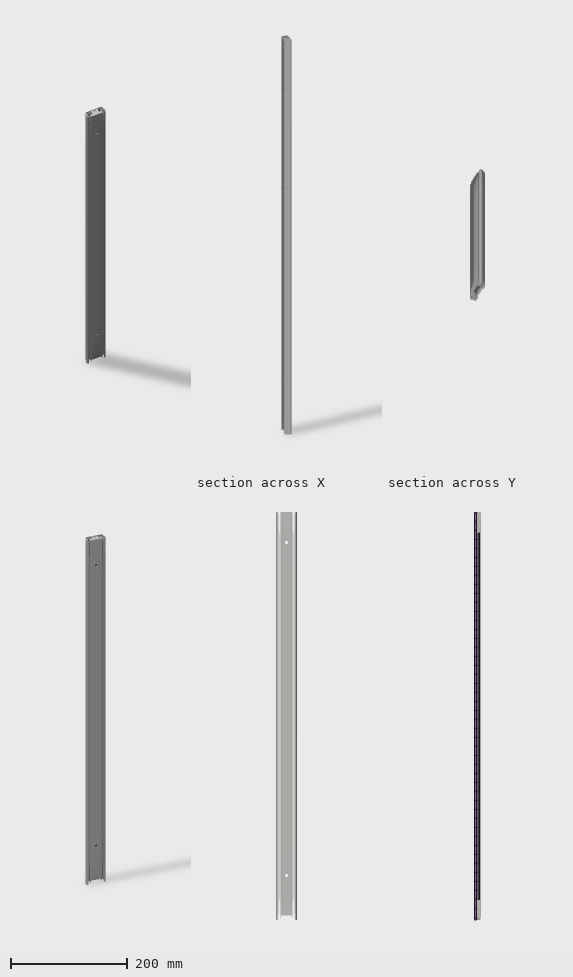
import cadquery as cq


LENGTH = 700.0
TOP = LENGTH / 2
BOTTOM = -LENGTH / 2
SHEET = 1.05

OUTER_BACK = -6.0
OUTER_FRONT = 5.45
OUTER_HALF_WIDTH = 36.0 / 2
WEB_HALF_WIDTH = 14.0
LIP_HALF_GAP = 29.0 / 2

MIDDLE_BACK = -5.0
MIDDLE_FRONT = 5.25
MIDDLE_HALF_WIDTH = 14.0
MIDDLE_BOTTOM = BOTTOM + 10.0
MIDDLE_TOP = TOP - 3.0

INNER_FRONT = 6.4
INNER_BACK = -1.5
INNER_HALF_WIDTH = 10.5
INNER_BOTTOM = BOTTOM + 3.5
INNER_NOTCH_HEIGHT = 4.0
TAB_THICKNESS = 2.0
TAB_BACK = -4.55
TAB_HALF_WIDTH = 6.0
TAB_ROOT_BACK = 2.0
TAB_POCKET_BACK = -3.15
TAB_POCKET_FRONT = 1.05
TAB_POCKET_HALF_WIDTH = 2.0
TAB_POCKET_DEPTH = 1.05

TONGUE_HALF_WIDTH = 15.0 / 2
SLOT_WIDTH = 2.0
LONG_CLIP_LENGTH = 45.5
SHORT_CLIP_LENGTH = 34.0
LONG_CLIP_TOPS = (332.0, 269.0)
SHORT_CLIP_TOPS = (102.0, -250.0)
LONG_CLIP_HOLES = ((9.0, 2.0), (18.0, 3.5), (33.5, 4.0))
SHORT_CLIP_HOLES = ((12.0, 3.5), (23.0, 4.0))

REAR_HOLE_RADIUS = 3.0
REAR_HOLE_DROP = 1.0
LONG_CLIP_REAR_HOLE = LONG_CLIP_HOLES[-1][0] + REAR_HOLE_DROP
SHORT_CLIP_REAR_HOLE = SHORT_CLIP_HOLES[-1][0] + REAR_HOLE_DROP
REAR_HOLE_HEIGHTS = (
    *[top - LONG_CLIP_REAR_HOLE for top in LONG_CLIP_TOPS],
    *[top - SHORT_CLIP_REAR_HOLE for top in SHORT_CLIP_TOPS],
)
INNER_HOLE_HEIGHTS = (REAR_HOLE_HEIGHTS[0], REAR_HOLE_HEIGHTS[-1])

TOP_HOLE_Z = 337.5
TOP_HOLE_RADIUS = 3.15
WINDOW_Y = 10.5
WINDOW_WIDTH = 4.0
WINDOW_HEIGHT = 6.0
BOTTOM_HOLE_Z = -331.0
BOTTOM_HOLE_RADIUS = 3.0
NOTCH_HALF_WIDTH = 19.0 / 2
NOTCH_HEIGHT = 12.5

STRIP_THICKNESS = 1.5
STRIP_BACK = 0.35
STRIP_FRONT = 3.85
STRIP_LENGTH = 630.0
STRIP_GAP = 0.35
OUTER_STRIP_Y = MIDDLE_HALF_WIDTH + STRIP_GAP + STRIP_THICKNESS / 2
INNER_STRIP_Y = (INNER_HALF_WIDTH + MIDDLE_HALF_WIDTH - SHEET) / 2


def box(x_min, x_max, y_min, y_max, z_min, z_max):
    """A box between the given limits."""
    size = (x_max - x_min, y_max - y_min, z_max - z_min)
    return cq.Workplane("XY").box(*size, centered=False).translate((x_min, y_min, z_min))


def web_hole(web_back, z, radius):
    """A cutter for a round hole through a web whose -X face is at web_back."""
    hole = cq.Workplane("YZ").center(0, z).circle(radius).extrude(2 * SHEET)
    return hole.translate((web_back - SHEET / 2, 0, 0))


def outer_web_cut(y_min, y_max, z_min, z_max):
    """A cutter for a rectangular opening through the outer web only."""
    return box(OUTER_BACK - SHEET, OUTER_BACK + SHEET, y_min, y_max, z_min, z_max)


def outer_section():
    """Closed outside outline of the outer rail, with a bulging ball race on each side."""
    flank_start = (-4.55, WEB_HALF_WIDTH + 1.75)
    race_start = (-1.0, WEB_HALF_WIDTH + 2.5)
    race_crest = (2.0, OUTER_HALF_WIDTH)
    race_end = (4.55, OUTER_HALF_WIDTH - 1.0)
    lip_start = (OUTER_FRONT, OUTER_HALF_WIDTH - 1.75)
    return (
        cq.Workplane("XY", origin=(0, 0, BOTTOM))
        .moveTo(OUTER_BACK, 0)
        .lineTo(OUTER_BACK, WEB_HALF_WIDTH)
        .tangentArcPoint(flank_start, relative=False)
        .lineTo(*race_start)
        .threePointArc(race_crest, race_end)
        .tangentArcPoint(lip_start, relative=False)
        .lineTo(OUTER_FRONT, 0)
        .mirrorX()
    )


def cut_clip(rail, top, length, holes):
    """Cut an upside-down U slot, and holes in the tongue it leaves joined at the bottom."""
    slot_half_width = TONGUE_HALF_WIDTH + SLOT_WIDTH
    slot = outer_web_cut(-slot_half_width, slot_half_width, top - length, top)
    tongue = outer_web_cut(
        -TONGUE_HALF_WIDTH, TONGUE_HALF_WIDTH, top - length, top - SLOT_WIDTH
    )
    rail = rail.cut(slot.cut(tongue))
    for depth, radius in holes:
        rail = rail.cut(web_hole(OUTER_BACK, top - depth, radius))
    return rail


def make_outer_rail():
    hollow = outer_section().offset2D(-SHEET).extrude(LENGTH)
    opening = box(0, OUTER_FRONT + SHEET, -LIP_HALF_GAP, LIP_HALF_GAP, BOTTOM, TOP)
    rail = outer_section().extrude(LENGTH).cut(hollow).cut(opening)

    for top in LONG_CLIP_TOPS:
        rail = cut_clip(rail, top, LONG_CLIP_LENGTH, LONG_CLIP_HOLES)
    for top in SHORT_CLIP_TOPS:
        rail = cut_clip(rail, top, SHORT_CLIP_LENGTH, SHORT_CLIP_HOLES)

    rail = rail.cut(web_hole(OUTER_BACK, TOP_HOLE_Z, TOP_HOLE_RADIUS))
    rail = rail.cut(web_hole(OUTER_BACK, BOTTOM_HOLE_Z, BOTTOM_HOLE_RADIUS))
    for y in (-WINDOW_Y, WINDOW_Y):
        window = outer_web_cut(
            y - WINDOW_WIDTH / 2,
            y + WINDOW_WIDTH / 2,
            TOP_HOLE_Z - WINDOW_HEIGHT / 2,
            TOP_HOLE_Z + WINDOW_HEIGHT / 2,
        )
        rail = rail.cut(window)
    notch = outer_web_cut(-NOTCH_HALF_WIDTH, NOTCH_HALF_WIDTH, BOTTOM, BOTTOM + NOTCH_HEIGHT)
    return rail.cut(notch)


def make_middle_rail():
    half = MIDDLE_HALF_WIDTH
    rail = box(MIDDLE_BACK, MIDDLE_FRONT, -half, half, MIDDLE_BOTTOM, MIDDLE_TOP)
    inside = half - SHEET
    web_front = MIDDLE_BACK + SHEET
    rail = rail.cut(box(web_front, MIDDLE_FRONT, -inside, inside, MIDDLE_BOTTOM, MIDDLE_TOP))
    for z in REAR_HOLE_HEIGHTS:
        rail = rail.cut(web_hole(MIDDLE_BACK, z, REAR_HOLE_RADIUS))
    return rail


def make_inner_rail():
    half = INNER_HALF_WIDTH
    inside = half - SHEET
    web_back = INNER_FRONT - SHEET
    rail = box(INNER_BACK, INNER_FRONT, -half, half, INNER_BOTTOM, TOP)
    rail = rail.cut(box(INNER_BACK, web_back, -inside, inside, INNER_BOTTOM, TOP))

    tab_bottom = TOP - TAB_THICKNESS
    rail = rail.union(box(TAB_ROOT_BACK, web_back, -inside, inside, tab_bottom, TOP))
    rail = rail.union(
        box(TAB_BACK, TAB_ROOT_BACK, -TAB_HALF_WIDTH, TAB_HALF_WIDTH, tab_bottom, TOP)
    )
    rail = rail.cut(
        box(
            TAB_POCKET_BACK,
            TAB_POCKET_FRONT,
            -TAB_POCKET_HALF_WIDTH,
            TAB_POCKET_HALF_WIDTH,
            TOP - TAB_POCKET_DEPTH,
            TOP,
        )
    )

    notch_top = INNER_BOTTOM + INNER_NOTCH_HEIGHT
    rail = rail.cut(box(web_back, INNER_FRONT, -inside, inside, INNER_BOTTOM, notch_top))
    for z in INNER_HOLE_HEIGHTS:
        rail = rail.cut(web_hole(web_back, z, REAR_HOLE_RADIUS))
    return rail


def make_retainer_strip(y):
    """A flat strip along the rails, centred on the given Y."""
    half = STRIP_THICKNESS / 2
    return box(STRIP_BACK, STRIP_FRONT, y - half, y + half, -STRIP_LENGTH / 2, STRIP_LENGTH / 2)


outer_rail = make_outer_rail()
middle_rail = make_middle_rail()
inner_rail = make_inner_rail()

retainer_strips = []
for strip_y in (OUTER_STRIP_Y, INNER_STRIP_Y):
    for side in (-1, 1):
        retainer_strips.append(make_retainer_strip(side * strip_y).val())

result = cq.Compound.makeCompound(
    [outer_rail.val(), middle_rail.val(), inner_rail.val(), *retainer_strips]
)